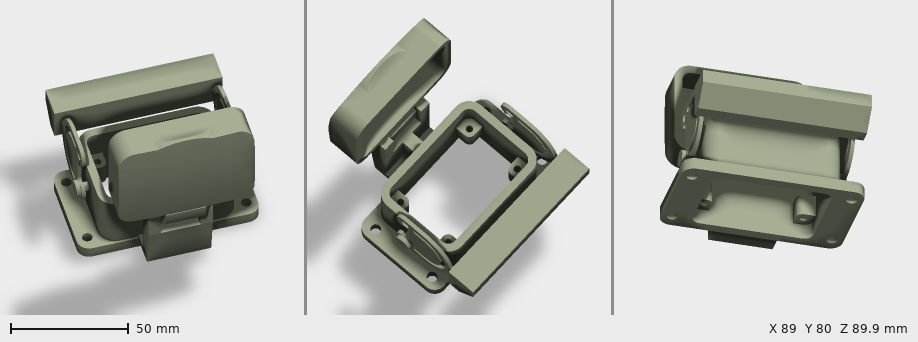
import cadquery as cq
import math


flange_x = 45.0
flange_y = 80.0
flange_height = 5.3
flange_radius = 5.4
flange_hole_diameter = 4.6
flange_hole_pitch_x = 32.0
flange_hole_pitch_y = 70.1

wall = 3.6
housing_x = 43.2
housing_y = 60.0
housing_top = 29.3
housing_radius = 7.55
cavity_x = housing_x - 2 * wall
cavity_y = housing_y - 2 * wall
cavity_radius = housing_radius - wall

post_size = 7.9
post_radius = 2.9
post_bottom = 7.1
post_height = 10.0
post_hole_diameter = 3.15
post_hole_pitch_x = 27.05
post_hole_pitch_y = 43.9

lever_z = 29.7
lever_radius = 15.4
lever_bend_x = -10.1
lever_thickness = 1.7
lever_inner_y = 32.4
lever_outer_y = lever_inner_y + lever_thickness
pivot_x = 0.2
pivot_diameter = 4.2
pivot_offset = 10.4
lobe_radius = lever_radius - pivot_offset
notch_offset = 4.8
hook_tip_radius = 0.6
groove_radius = 11.1
groove_width = 2.8
groove_end_x = -4.4
pin_head_diameter = 7.5
pin_head_height = 1.9

handle_x_min = -41.0
handle_x_max = -27.05
handle_z_min = 23.7
handle_z_max = 38.0
handle_length = 74.1
handle_bevel_x = 8.0
handle_bevel_z = 8.3
handle_tab_height = 4.1

bracket_width = 28.3
bracket_x = 29.1
bracket_outer_x = 37.6
bracket_foot_x = 35.0
bracket_z_min = 3.8
bracket_z_max = 38.3
bracket_top_radius = 6.0
bracket_arm = 5.4
bracket_floor = 6.4
rib_width = 6.0
rib_fillet = 3.8
slot_z = 23.6
bracket_bend_z = slot_z

lid_x = 31.2
lid_z_min = 44.7
lid_size_z = housing_x
lid_z_max = lid_z_min + lid_size_z
lid_z = lid_z_min + lid_size_z / 2
lid_crown_x = 48.0
lid_floor_thickness = 2.9
crown_radius_z = 117.7
crown_radius_y = 539.2
crown_margin = 4.5

grip_width = 24.6
grip_rise = 2.0
grip_scoop_x = 39.8
grip_scoop_radius = 5.6

tongue_width = bracket_width - 2 * bracket_arm
tongue_x_min = 31.7
tongue_stem_x = 37.1
tongue_z_min = 27.95
tongue_z_step = 34.5
tongue_outer_x = 46.3
tongue_radius = 15.3
tongue_slope = math.radians(45)


def block(x_min, x_max, width, z_min, z_max):
    """Box centred on Y = 0."""
    return cq.Workplane("XY").box(x_max - x_min, width, z_max - z_min).translate(
        ((x_min + x_max) / 2, 0, (z_min + z_max) / 2)
    )


def rounded_block(size_x, size_y, height, radius):
    """Upright prism standing on Z = 0 with rounded vertical edges."""
    return cq.Workplane("XY").rect(size_x, size_y).extrude(height).edges("|Z").fillet(radius)


def hole_grid(pitch_x, pitch_y, diameter, height):
    """Four cylinders standing on Z = 0 at the corners of a rectangle."""
    return (
        cq.Workplane("XY")
        .rect(pitch_x, pitch_y, forConstruction=True)
        .vertices()
        .circle(diameter / 2)
        .extrude(height)
    )


def both_sides(solid):
    """The solid together with its mirror image across Y = 0."""
    return solid.union(solid.mirror("XZ"))


def cylinder_along_y(x, z, diameter, y_min, y_max):
    """Round bar along Y between two Y positions."""
    return (
        cq.Workplane("XZ", origin=(x, y_min, z))
        .circle(diameter / 2)
        .extrude(y_min - y_max)
    )


def make_housing():
    flange = rounded_block(flange_x, flange_y, flange_height, flange_radius)
    walls = rounded_block(housing_x, housing_y, housing_top, housing_radius)
    cavity = rounded_block(cavity_x, cavity_y, housing_top, cavity_radius)
    flange_holes = hole_grid(flange_hole_pitch_x, flange_hole_pitch_y, flange_hole_diameter, flange_height)
    return flange.union(walls).cut(cavity).cut(flange_holes)


def make_posts():
    """Four drilled posts, reaching into the wall so that they fill the rounded cavity corners."""
    reach = wall / 2
    side = post_size + reach
    posts = cq.Workplane("XY")
    for sign_x, inner_x_face in ((-1, ">X"), (1, "<X")):
        for sign_y, inner_y_edge in ((-1, ">Y"), (1, "<Y")):
            post = (
                cq.Workplane("XY")
                .box(side, side, post_height, centered=(True, True, False))
                .faces(inner_x_face)
                .edges(inner_y_edge)
                .fillet(post_radius)
                .translate(
                    (
                        sign_x * (cavity_x / 2 + reach - side / 2),
                        sign_y * (cavity_y / 2 + reach - side / 2),
                        post_bottom,
                    )
                )
            )
            posts = posts.union(post)
    outer_shape = rounded_block(housing_x, housing_y, housing_top, housing_radius)
    holes = hole_grid(post_hole_pitch_x, post_hole_pitch_y, post_hole_diameter, housing_top)
    return posts.intersect(outer_shape).cut(holes)


def c_outline(radius, end_x):
    """Closed profile with a half-round left end and straight runs to end_x, in lever coordinates."""
    return (
        cq.Workplane("XZ", origin=(0, lever_outer_y, lever_z))
        .moveTo(end_x, radius)
        .lineTo(lever_bend_x, radius)
        .threePointArc((lever_bend_x - radius, 0), (lever_bend_x, -radius))
        .lineTo(end_x, -radius)
        .close()
        .extrude(lever_thickness)
    )


def make_lever_plate():
    plate = c_outline(lever_radius, pivot_x)
    pivots = [(pivot_x, lever_z + pivot_offset), (pivot_x, lever_z - pivot_offset)]
    for x, z in pivots:
        plate = plate.union(cylinder_along_y(x, z, 2 * lobe_radius, lever_inner_y, lever_outer_y))

    notch_z = pivot_offset - notch_offset
    opening_x_min = pivot_x - pivot_diameter / 2
    opening = block(
        opening_x_min, pivot_x + lobe_radius, 2 * lever_outer_y, lever_z - notch_z, lever_z + notch_z
    )
    for sign in (-1, 1):
        notch = cylinder_along_y(
            pivot_x, lever_z + sign * notch_z, pivot_diameter, lever_inner_y, lever_outer_y
        )
        opening = opening.union(notch)
    plate = plate.cut(opening)
    hook_tips = cq.selectors.BoxSelector(
        (pivot_x + hook_tip_radius, 0, lever_z - pivot_offset),
        (pivot_x + lobe_radius, 2 * lever_outer_y, lever_z + pivot_offset),
    )
    plate = plate.edges("|Y").edges(hook_tips).fillet(hook_tip_radius)

    groove_straight_end = groove_end_x - groove_width / 2
    groove_outside = c_outline(groove_radius + groove_width / 2, groove_straight_end)
    groove_inside = c_outline(groove_radius - groove_width / 2, groove_straight_end)
    groove = groove_outside.cut(groove_inside)
    for z in (lever_z - groove_radius, lever_z + groove_radius):
        groove_end = cylinder_along_y(groove_straight_end, z, groove_width, lever_inner_y, lever_outer_y)
        groove = groove.union(groove_end)
    plate = plate.cut(groove)
    for x, z in pivots:
        plate = plate.cut(cylinder_along_y(x, z, pivot_diameter, lever_inner_y, lever_outer_y))

    tab_length = lever_bend_x - groove_radius - groove_width / 2 - handle_x_max
    tab = (
        cq.Workplane("XY")
        .box(tab_length, lever_thickness, handle_tab_height, centered=(False, False, True))
        .translate((handle_x_max, lever_inner_y, lever_z))
    )
    return plate.union(tab)


def make_pin():
    pin_z = lever_z - pivot_offset
    shank = cylinder_along_y(pivot_x, pin_z, pivot_diameter, housing_y / 2 - wall / 2, lever_outer_y)
    head = cylinder_along_y(
        pivot_x, pin_z, pin_head_diameter, lever_outer_y, lever_outer_y + pin_head_height
    )
    return shank.union(head)


def make_handle():
    return (
        cq.Workplane("XZ")
        .moveTo(handle_x_min, handle_z_max)
        .lineTo(handle_x_max, handle_z_max)
        .lineTo(handle_x_max, handle_z_min)
        .lineTo(handle_x_min + handle_bevel_x, handle_z_min)
        .lineTo(handle_x_min, handle_z_min + handle_bevel_z)
        .close()
        .extrude(handle_length / 2, both=True)
    )


def make_bracket():
    plate = (
        cq.Workplane("XZ")
        .moveTo(bracket_x, bracket_z_min)
        .lineTo(bracket_x, bracket_z_max)
        .lineTo(bracket_outer_x - bracket_top_radius, bracket_z_max)
        .radiusArc((bracket_outer_x, bracket_z_max - bracket_top_radius), bracket_top_radius)
        .lineTo(bracket_outer_x, bracket_bend_z)
        .lineTo(bracket_foot_x, bracket_z_min)
        .close()
        .extrude(bracket_width / 2, both=True)
    )
    slot = block(bracket_x, bracket_outer_x, tongue_width, slot_z, bracket_z_max)
    rib_start_x = (housing_x - wall) / 2
    half_rib = rib_width / 2
    fillet_top = bracket_floor + rib_fillet
    fillet_edge = half_rib + rib_fillet
    web = (
        cq.Workplane("YZ", origin=(rib_start_x, 0, 0))
        .moveTo(-bracket_width / 2, bracket_z_min)
        .lineTo(-bracket_width / 2, bracket_floor)
        .lineTo(-fillet_edge, bracket_floor)
        .radiusArc((-half_rib, fillet_top), -rib_fillet)
        .lineTo(-half_rib, slot_z)
        .lineTo(half_rib, slot_z)
        .lineTo(half_rib, fillet_top)
        .radiusArc((fillet_edge, bracket_floor), -rib_fillet)
        .lineTo(bracket_width / 2, bracket_floor)
        .lineTo(bracket_width / 2, bracket_z_min)
        .close()
        .extrude(bracket_x - rib_start_x)
    )
    return plate.cut(slot).union(web)


def make_crown(crown_x, depth):
    """Solid from x = crown_x - depth to a doubly curved crown, larger than the lid in Y and Z."""
    half_height = lid_size_z / 2 + crown_margin
    edge_drop = crown_radius_z - math.sqrt(crown_radius_z**2 - half_height**2)
    axis_x = crown_x - crown_radius_y
    inner = crown_radius_y - depth
    edge = crown_radius_y - edge_drop
    sweep = 2 * math.degrees(math.asin((housing_y / 2 + crown_margin) / crown_radius_y))
    return (
        cq.Workplane("XZ")
        .moveTo(inner, -half_height)
        .lineTo(edge, -half_height)
        .threePointArc((crown_radius_y, 0), (edge, half_height))
        .lineTo(inner, half_height)
        .close()
        .revolve(sweep, (0, 0, 0), (0, 1, 0))
        .rotate((0, 0, 0), (0, 0, 1), -sweep / 2)
        .translate((axis_x, 0, lid_z))
    )


def lid_prism(size_y, size_z, radius):
    return (
        cq.Workplane("YZ", origin=(lid_x, 0, lid_z))
        .rect(size_y, size_z)
        .extrude(lid_crown_x - lid_x)
        .edges("|X")
        .fillet(radius)
    )


def make_grip():
    """Bulge on the lid rim whose front is scooped away down to the flat rim."""
    bulge = (
        cq.Workplane("YZ", origin=(grip_scoop_x, 0, lid_z_max))
        .moveTo(-grip_width / 2, 0)
        .threePointArc((0, grip_rise), (grip_width / 2, 0))
        .lineTo(grip_width / 2, -wall / 2)
        .lineTo(-grip_width / 2, -wall / 2)
        .close()
        .extrude(lid_crown_x - grip_scoop_x)
    )
    scoop = cylinder_along_y(
        grip_scoop_x, lid_z_max + grip_scoop_radius, 2 * grip_scoop_radius, -grip_width, grip_width
    )
    return bulge.cut(scoop)


def make_tongue():
    """Bar between the bracket arms and the stem that carries the lid."""
    arc_end_x = tongue_outer_x - tongue_radius * (1 - math.cos(tongue_slope))
    arc_end_z = lid_z_min - tongue_radius * math.sin(tongue_slope)
    slope_foot_x = arc_end_x - (arc_end_z - tongue_z_min) / math.tan(tongue_slope)
    return (
        cq.Workplane("XZ")
        .moveTo(tongue_x_min, tongue_z_min)
        .lineTo(tongue_x_min, tongue_z_step)
        .lineTo(tongue_stem_x, tongue_z_step)
        .lineTo(tongue_stem_x, lid_z_min + wall / 2)
        .lineTo(tongue_outer_x - wall / 2, lid_z_min + wall / 2)
        .lineTo(tongue_outer_x - wall / 2, lid_z_min)
        .lineTo(tongue_outer_x, lid_z_min)
        .radiusArc((arc_end_x, arc_end_z), tongue_radius)
        .lineTo(slope_foot_x, tongue_z_min)
        .close()
        .extrude(tongue_width / 2, both=True)
    )


def make_lid():
    depth = 2 * (lid_crown_x - lid_x)
    shell = lid_prism(housing_y, lid_size_z, housing_radius).union(make_grip())
    shell = shell.intersect(make_crown(lid_crown_x, depth))
    hollow = lid_prism(cavity_y, cavity_x, cavity_radius)
    hollow = hollow.intersect(make_crown(lid_crown_x - lid_floor_thickness, depth))
    return shell.cut(hollow).union(make_tongue())


result = make_housing().union(make_posts())
result = result.union(both_sides(make_lever_plate())).union(both_sides(make_pin()))
result = result.union(make_handle()).union(make_bracket()).union(make_lid())